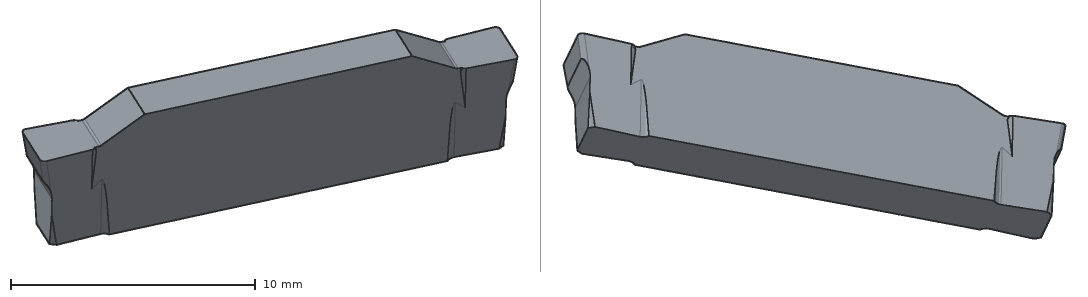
import cadquery as cq
import math

length = 20.83
half_length = length / 2
height = 5.69
body_width = 1.98

head_drop = 1.12
ramp_start = 2.635
ramp_angle = 30.0
ramp_fillet = 0.23
head_top = height - head_drop
ramp_run = head_drop / math.tan(math.radians(ramp_angle))

edge_depth = 1.17
edge_setback = 0.156
relief_depth = 2.08
shank_setback = 0.51
edge_corner_radius = 0.2

tip_half_width = 1.2
stock_half_width = 1.56
flank_taper = 0.0475
flank_draft = 0.055
flank_length = 2.27
flank_ramp_slope = 0.5

recess_length = 2.7
recess_radius = 0.44

corner_cut_height = 1.67
corner_cut_along = 0.25
corner_cut_across = 0.17

clearance = 1.05


def flank_x(y):
    """Half width of the head at its top, y measured from the end."""
    return tip_half_width - flank_taper * y


def end_profile(back):
    """Side outline from the bottom at `back`, round the cutting end to the head top."""
    drop = relief_depth - edge_depth
    setback = shank_setback - edge_setback
    radius = (drop**2 + setback**2) / (2 * setback)
    half_turn = math.asin(drop / radius) / 2
    middle = (
        shank_setback - radius * (1 - math.cos(half_turn)),
        head_top - relief_depth + radius * math.sin(half_turn),
    )
    return (
        cq.Workplane("YZ")
        .moveTo(back, 0)
        .lineTo(shank_setback, 0)
        .lineTo(shank_setback, head_top - relief_depth)
        .threePointArc(middle, (edge_setback, head_top - edge_depth))
        .lineTo(0, head_top)
    )


def drafted_cutter(plan):
    """Sweep a closed plan outline down along the flank draft, on the +X side."""
    plane = cq.Plane(origin=(0, 0, head_top), xDir=(1, 0, -flank_draft), normal=(flank_draft, 0, 1))
    return plan(cq.Workplane(plane)).extrude(height + clearance, both=True)


def head_plan(workplane):
    """Area outside the head: straight flank, then a ramp into the body."""
    outside = tip_half_width + clearance
    ramp_end = flank_length + clearance
    return workplane.polyline([
        (flank_x(-clearance), -clearance),
        (flank_x(flank_length), flank_length),
        (flank_x(flank_length) - flank_ramp_slope * clearance, ramp_end),
        (outside, ramp_end),
        (outside, -clearance),
    ]).close()


def recess_plan(workplane):
    """Area outside the recess: straight flank, then an arc curving outward."""
    start_x = flank_x(recess_length)
    bend = recess_radius * math.sin(math.radians(45))
    return (
        workplane.moveTo(flank_x(-clearance), -clearance)
        .lineTo(start_x, recess_length)
        .threePointArc(
            (start_x + recess_radius - bend, recess_length + bend),
            (start_x + recess_radius, recess_length + recess_radius),
        )
        .lineTo(tip_half_width + clearance, recess_length + recess_radius)
        .lineTo(tip_half_width + clearance, -clearance)
        .close()
    )


def cut_both_sides(solid, cutter):
    return solid.cut(cutter).cut(cutter.mirror("YZ"))


def corner_rounding():
    """Material to remove from the sharp corners at both ends of the cutting edge."""
    front_slope = edge_setback / edge_depth
    sharp = (
        cq.Workplane("YZ")
        .polyline([
            (0, head_top),
            (front_slope * relief_depth, head_top - relief_depth),
            (flank_length, head_top - relief_depth),
            (flank_length, head_top),
        ])
        .close()
        .extrude(stock_half_width, both=True)
    )
    sharp = cut_both_sides(sharp, drafted_cutter(head_plan))
    rounded = sharp.faces("<Y").edges("not |X").fillet(edge_corner_radius)
    return sharp.cut(rounded)


def make_head():
    back = flank_length + clearance / 2
    head = end_profile(back).lineTo(ramp_start - ramp_fillet, head_top)
    head = head.lineTo(back, head_top - clearance).close().extrude(stock_half_width, both=True)
    head = cut_both_sides(head, drafted_cutter(head_plan))
    return head.cut(corner_rounding())


def make_body():
    body = (
        end_profile(half_length)
        .lineTo(ramp_start, head_top)
        .lineTo(ramp_start + ramp_run, height)
        .lineTo(half_length, height)
        .close()
        .extrude(body_width / 2, both=True)
    )
    ramp_foot = cq.selectors.NearestToPointSelector((0, ramp_start, head_top))
    body = body.edges("|X").edges(ramp_foot).fillet(ramp_fillet)
    front_depth = shank_setback + edge_corner_radius
    front = cq.Workplane("XY").box(body_width, front_depth, height, centered=(True, False, False))
    return cut_both_sides(body.cut(front), drafted_cutter(recess_plan))


def corner_cutter():
    """Wedge with its tip on the shank's front corner and its base on the bottom."""
    foot_x = flank_x(shank_setback) - flank_draft * head_top
    top_x = foot_x + flank_draft * corner_cut_height
    tip = cq.Vector(top_x, shank_setback, corner_cut_height)
    front = cq.Vector(foot_x - corner_cut_across, shank_setback, 0)
    side = cq.Vector(foot_x - flank_taper * corner_cut_along, shank_setback + corner_cut_along, 0)
    spread = side - front
    base = [front - spread, side + spread]
    outer = cq.Vector(foot_x + clearance, shank_setback - clearance, 0)
    corners = [tip, *base, outer]
    faces = []
    for skipped in range(len(corners)):
        triangle = [point for index, point in enumerate(corners) if index != skipped]
        faces.append(cq.Face.makeFromWires(cq.Wire.makePolygon(triangle, close=True)))
    return cq.Workplane(cq.Solid.makeSolid(cq.Shell.makeShell(faces)))


end_half = make_head().union(make_body())
end_half = cut_both_sides(end_half, corner_cutter())
end_half = end_half.translate((0, -half_length, 0))
result = end_half.union(end_half.mirror("XZ")).clean()
result = result.translate((0, 0, -height / 2))